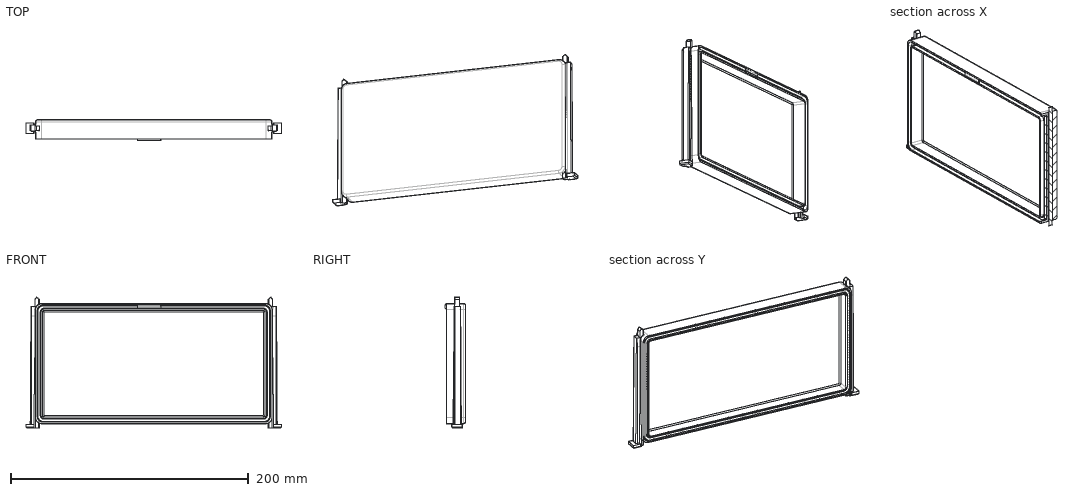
import cadquery as cq


TRAY_WIDTH = 198.8
TRAY_HEIGHT = 101.0
TRAY_DEPTH = 16.3
TRAY_CORNER_RADIUS = 5.2
BACK_FILLET = 2.0
TRAY_SIDE = TRAY_WIDTH / 2
TRAY_TOP = TRAY_HEIGHT / 2

RIM_WIDTH = 1.3
GROOVE_WIDTH = 3.2
LIP_WIDTH = 1.3
GROOVE_DEPTH = 5.2
GROOVE_OUTER_RADIUS = TRAY_CORNER_RADIUS
GROOVE_INNER_RADIUS = 3.0
LIP_INSET = RIM_WIDTH + GROOVE_WIDTH
CAVITY_INSET = LIP_INSET + LIP_WIDTH

CAVITY_WALL_DEPTH = 11.0
CAVITY_RADIUS = 1.7
BEVEL_WIDTH = 1.3
BEVEL_DEPTH = 0.6

TAB_LEFT = -13.8
TAB_WIDTH = 19.8
TAB_HEIGHT = 4.7
TAB_THICKNESS = 1.3
TAB_ROUND_HEIGHT = 2.5
TAB_BOTTOM_BEVEL_HEIGHT = 0.9
TAB_BOTTOM_THICKNESS = 1.0

SEAL_HEIGHT = 2.2
SEAL_GAP = 0.6

ROD_INNER = 96.1
ROD_OUTER = 100.0
ROD_FRONT = 7.0
ROD_THICKNESS = 4.0
ROD_TOP = 56.0
ROD_BOTTOM = -54.2
ROD_POINT_HEIGHT = 2.0
ROD_RIDGE = 98.5
ROD_CHAMFER = 0.6
BAR_FACE_OUTER = 102.5
BAR_BEVEL_DEPTH = 0.9
BAR_OUTER_TOP = 103.2
BAR_OUTER_BOTTOM = 104.0
BAR_TOP = 48.2
BAR_FRONT = 6.5
BAR_BACK = 11.8
LEAD_IN_DEPTH = 0.5
LEAD_IN_LENGTH = 8.0
FLANGE_OUTER = 100.9
FLANGE_SPREAD_TOP = 0.2
FLANGE_SPREAD_BOTTOM = 0.9
FOOT_OUTER = 107.5
FOOT_FRONT = 4.5
FOOT_BACK = 13.5
FOOT_THICKNESS = 3.2
FOOT_CHAMFER = 1.0


def rounded_block(inset, radius, start, depth):
    """Block inset from the tray outline, from Y = start to start + depth, with round corners."""
    width = TRAY_WIDTH - 2 * inset
    height = TRAY_HEIGHT - 2 * inset
    block = cq.Workplane("XY").box(width, depth, height)
    return block.edges("|Y").fillet(radius).translate((0, start + depth / 2, 0))


def groove_ring(gap, start, depth):
    """Ring along the rim groove, with a gap to both groove walls, from Y = start to start + depth."""
    outer = rounded_block(RIM_WIDTH + gap, GROOVE_OUTER_RADIUS - gap, start, depth)
    inner = rounded_block(LIP_INSET - gap, GROOVE_INNER_RADIUS + gap, start, depth)
    return outer.cut(inner)


def make_cavity():
    walls = rounded_block(CAVITY_INSET, CAVITY_RADIUS, 0, CAVITY_WALL_DEPTH)
    width = TRAY_WIDTH - 2 * CAVITY_INSET
    height = TRAY_HEIGHT - 2 * CAVITY_INSET
    wall_outline = cq.Sketch().rect(width, height).vertices().fillet(CAVITY_RADIUS)
    floor_outline = (
        cq.Sketch()
        .rect(width - 2 * BEVEL_WIDTH, height - 2 * BEVEL_WIDTH)
        .vertices()
        .fillet(CAVITY_RADIUS - BEVEL_WIDTH)
    )
    behind = cq.Location(cq.Vector(0, 0, -BEVEL_DEPTH))
    bevel = (
        cq.Workplane("XZ", origin=(0, CAVITY_WALL_DEPTH, 0))
        .placeSketch(wall_outline, floor_outline.moved(behind))
        .loft()
    )
    return walls.union(bevel)


def make_tab():
    """Lip on the rim face that covers the rim and the groove at the top edge."""
    bottom = TRAY_TOP - TAB_HEIGHT
    crest = TRAY_TOP - TAB_ROUND_HEIGHT
    round_radius = (TAB_ROUND_HEIGHT**2 + TAB_THICKNESS**2) / (2 * TAB_THICKNESS)
    return (
        cq.Workplane("YZ", origin=(TAB_LEFT, 0, 0))
        .moveTo(0, bottom)
        .lineTo(0, TRAY_TOP)
        .radiusArc((-TAB_THICKNESS, crest), -round_radius)
        .lineTo(-TAB_BOTTOM_THICKNESS, bottom + TAB_BOTTOM_BEVEL_HEIGHT)
        .close()
        .extrude(TAB_WIDTH)
    )


def rod_slot(side):
    """Slot along the whole tray side, open outwards, that holds the rod."""
    width = TRAY_SIDE - ROD_INNER
    slot = cq.Workplane("XY").box(width, ROD_THICKNESS, TRAY_HEIGHT)
    return slot.translate((side * (ROD_INNER + width / 2), ROD_FRONT + ROD_THICKNESS / 2, 0))


def make_tray():
    tray = rounded_block(0, TRAY_CORNER_RADIUS, 0, TRAY_DEPTH)
    tray = tray.faces(">Y").edges().fillet(BACK_FILLET)
    tray = tray.cut(groove_ring(0, 0, GROOVE_DEPTH)).cut(make_cavity()).union(make_tab())
    for side in (-1, 1):
        tray = tray.cut(rod_slot(side))
    return tray


def make_rod(side):
    """Rod with a roof-shaped point at its top and a chamfer along its inner front edge."""
    shoulder = ROD_TOP - ROD_POINT_HEIGHT
    points = [
        (ROD_INNER, ROD_BOTTOM),
        (ROD_OUTER, ROD_BOTTOM),
        (ROD_OUTER, shoulder),
        (ROD_RIDGE, ROD_TOP),
        (ROD_INNER, shoulder),
    ]
    outline = [(side * distance, z) for distance, z in points]
    rod = cq.Workplane("XZ", origin=(0, ROD_FRONT, 0)).polyline(outline).close().extrude(-ROD_THICKNESS)
    inner_face = "<X" if side > 0 else ">X"
    return rod.edges(f"|Z and <Y and {inner_face}").chamfer(ROD_CHAMFER)


def bar_outline(side, outer_bottom, outer_top):
    """Outline of the bar in X and Z, from the rod to the given outer distances."""
    points = [
        (ROD_OUTER, ROD_BOTTOM),
        (outer_bottom, ROD_BOTTOM),
        (outer_top, BAR_TOP),
        (ROD_OUTER, BAR_TOP),
    ]
    return [(side * distance, z) for distance, z in points]


def make_bar(side):
    """Bar beside the tray: its outer front bevel grows towards the foot, its top front slopes back."""
    wide_outline = bar_outline(side, BAR_OUTER_BOTTOM, BAR_OUTER_TOP)
    bevel = (
        cq.Workplane("XZ", origin=(0, BAR_FRONT, 0))
        .polyline(bar_outline(side, BAR_FACE_OUTER, BAR_FACE_OUTER))
        .close()
        .workplane(offset=-BAR_BEVEL_DEPTH)
        .polyline(wide_outline)
        .close()
        .loft(ruled=True)
    )
    bevel_back = BAR_FRONT + BAR_BEVEL_DEPTH
    core = (
        cq.Workplane("XZ", origin=(0, bevel_back, 0))
        .polyline(wide_outline)
        .close()
        .extrude(bevel_back - BAR_BACK)
    )
    bar = core.union(bevel)
    lead_in = (
        cq.Workplane("YZ")
        .polyline([
            (BAR_FRONT, BAR_TOP - LEAD_IN_LENGTH),
            (BAR_FRONT, BAR_TOP),
            (BAR_FRONT + LEAD_IN_DEPTH, BAR_TOP),
        ])
        .close()
        .extrude(side * BAR_OUTER_BOTTOM)
    )
    return bar.cut(lead_in)


def make_flange(side):
    """Sloped web that widens from the bar to the tray side, more so near the foot."""
    spread_outline = [
        (BAR_FRONT - FLANGE_SPREAD_BOTTOM, ROD_BOTTOM),
        (BAR_BACK + FLANGE_SPREAD_BOTTOM, ROD_BOTTOM),
        (BAR_BACK + FLANGE_SPREAD_TOP, BAR_TOP),
        (BAR_FRONT + LEAD_IN_DEPTH - FLANGE_SPREAD_TOP, BAR_TOP),
    ]
    narrow_outline = [
        (BAR_FRONT, ROD_BOTTOM),
        (BAR_BACK, ROD_BOTTOM),
        (BAR_BACK, BAR_TOP),
        (BAR_FRONT + LEAD_IN_DEPTH, BAR_TOP),
    ]
    return (
        cq.Workplane("YZ", origin=(side * TRAY_SIDE, 0, 0))
        .polyline(spread_outline)
        .close()
        .workplane(offset=side * (FLANGE_OUTER - TRAY_SIDE))
        .polyline(narrow_outline)
        .close()
        .loft(ruled=True)
    )


def make_foot(side):
    """Foot plate below the bar, bevelled along its lower front and outer edges."""
    length = FOOT_OUTER - FLANGE_OUTER
    foot = cq.Workplane("XY").box(length, FOOT_BACK - FOOT_FRONT, FOOT_THICKNESS)
    outer_face = ">X" if side > 0 else "<X"
    foot = foot.edges(f"<Z and (<Y or {outer_face})").chamfer(FOOT_CHAMFER)
    center_x = side * (FLANGE_OUTER + length / 2)
    return foot.translate((center_x, (FOOT_FRONT + FOOT_BACK) / 2, ROD_BOTTOM + FOOT_THICKNESS / 2))


def make_rail(side):
    rail = make_rod(side).union(make_bar(side))
    return rail.union(make_flange(side)).union(make_foot(side))


tray = make_tray()
seal = groove_ring(SEAL_GAP, GROOVE_DEPTH - SEAL_HEIGHT, SEAL_HEIGHT)
rails = [make_rail(side) for side in (-1, 1)]

result = cq.Compound.makeCompound([tray.val(), seal.val(), *[rail.val() for rail in rails]])